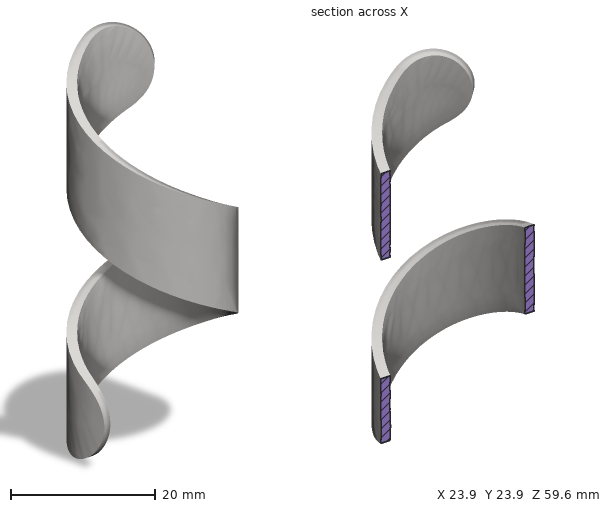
import cadquery as cq
import math

total_height = 59.65
outer_radius = 11.95
inner_radius = 10.45
disc_radius = 7.0
pitch = 38.2
top_end_angle = 180.0

bottom_end_z = disc_radius
top_end_z = total_height - disc_radius
turn_angle = (top_end_z - bottom_end_z) / pitch * 360
bottom_end_angle = top_end_angle + turn_angle

lead_angle = math.atan(pitch / (2 * math.pi * inner_radius))
ribbon_height = 2 * disc_radius / math.cos(lead_angle)
wall = outer_radius - inner_radius

surplus_angle = 45.0
surplus_rise = surplus_angle / 360 * pitch
cutter_angle = math.radians(60)
half_arc = math.radians(87)
arc_steps = 24
cutter_half_height = 17.9
cutter_near = inner_radius / 4
cutter_far = outer_radius * 1.5


def make_ribbon():
    """Square-ended ribbon that runs past both end centres."""
    rise = top_end_z - bottom_end_z + 2 * surplus_rise
    mid_radius = (inner_radius + outer_radius) / 2
    path = cq.Wire.makeHelix(pitch, rise, mid_radius, lefthand=True)
    ribbon = (
        cq.Workplane("XZ")
        .center(mid_radius, 0)
        .rect(wall, ribbon_height)
        .sweep(cq.Workplane(obj=path), isFrenet=True)
    )
    start_angle = bottom_end_angle + surplus_angle
    start_z = bottom_end_z - surplus_rise
    return ribbon.rotate((0, 0, 0), (0, 0, 1), start_angle).translate((0, 0, start_z))


def cutter_section(distance):
    """Cutter outline in the plane x = distance; its walls point at the Z axis."""

    def rolled_disc(t):
        direction = -lead_angle + (1 - 2 * t) * half_arc
        roll_angle = disc_radius * math.cos(direction) / inner_radius
        return cq.Vector(distance, distance * math.tan(roll_angle), disc_radius * math.sin(direction))

    upper = rolled_disc(0)
    lower = rolled_disc(1)
    side = distance * math.tan(cutter_angle)
    corners = [
        lower,
        cq.Vector(distance, lower.y, -cutter_half_height),
        cq.Vector(distance, side, -cutter_half_height),
        cq.Vector(distance, side, cutter_half_height),
        cq.Vector(distance, upper.y, cutter_half_height),
        upper,
    ]
    steps = [i / arc_steps for i in range(arc_steps + 1)]
    arc = cq.Edge.makeSpline([rolled_disc(t) for t in steps], parameters=steps)
    lines = [cq.Edge.makeLine(a, b) for a, b in zip(corners, corners[1:])]
    return cq.Wire.assembleEdges([arc] + lines)


def make_end_cutter():
    """Everything past the round end of a ribbon that falls toward +Y, centred on +X."""
    sections = [cutter_section(cutter_near), cutter_section(cutter_far)]
    return cq.Workplane(obj=cq.Solid.makeLoft(sections, True))


def place_cutter(cutter, angle, z):
    return cutter.rotate((0, 0, 0), (0, 0, 1), angle).translate((0, 0, z))


end_cutter = make_end_cutter()
top_cutter = place_cutter(end_cutter.rotate((0, 0, 0), (1, 0, 0), 180), top_end_angle, top_end_z)
bottom_cutter = place_cutter(end_cutter, bottom_end_angle, bottom_end_z)

result = make_ribbon().cut(top_cutter).cut(bottom_cutter)